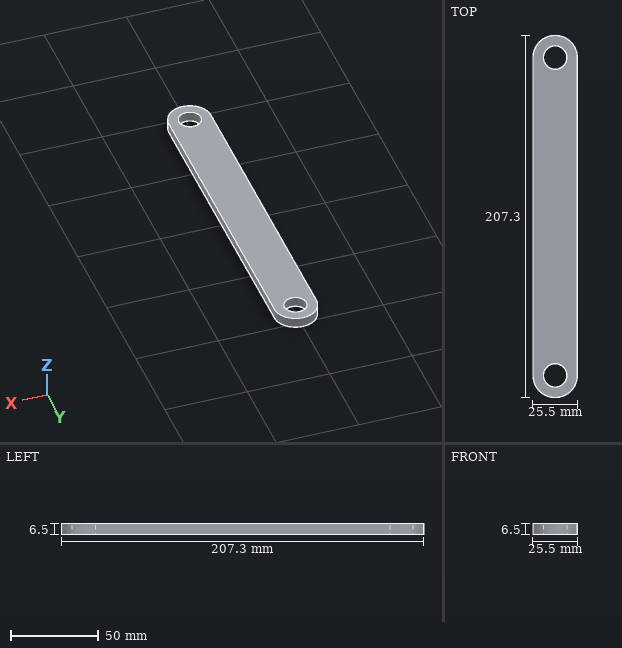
import cadquery as cq

length = 207.3
width = 25.5
thickness = 6.5
hole_diameter = 13.3

hole_spacing = length - width

bar = cq.Workplane("XY").slot2D(length, width, angle=90).extrude(thickness)

pin_holes = (
    cq.Workplane("XY")
    .pushPoints([(0, -hole_spacing / 2), (0, hole_spacing / 2)])
    .circle(hole_diameter / 2)
    .extrude(thickness)
)

result = bar.cut(pin_holes)